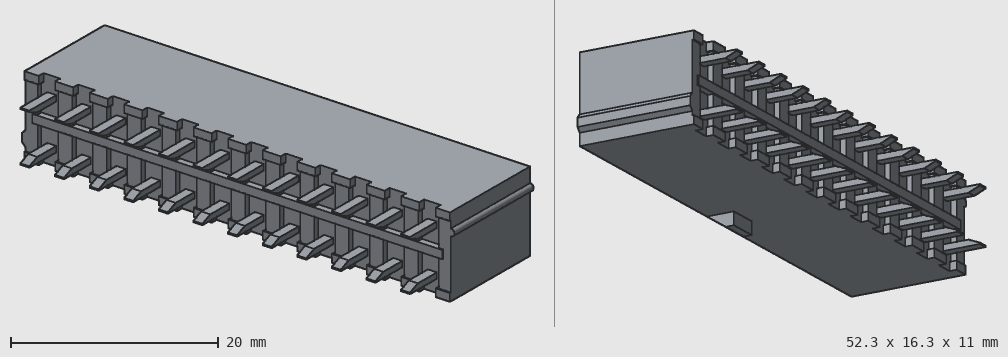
import cadquery as cq


body_width = 51.55
body_depth = 12.8
body_height = 9.6
flange_height = 0.95
face_recess = 0.15

pin_columns = 12
pin_pitch = 4.2
pocket_width = 2.5
pocket_depth = 0.8
notch_width = 2.0

bar_length = 49.7
bar_height = 1.0

row_spacing = 5.45
row_centre_z = 4.6
pin_width = 1.1
pin_thickness = 0.7
pin_reach = 3.5
pin_taper_length = 1.25
pin_tip_thickness = 0.15

left_rib_reach = 0.4
left_rib_base = 1.9
left_rib_crest = 0.95
left_rib_z = 2.3
right_rib_radius = 0.4
right_rib_z = 7.4

latch_width = 3.35
latch_drop = 1.4
latch_length = 3.05
latch_foot = 0.9

half_width = body_width / 2
mid_height = body_height / 2
column_xs = [(i - (pin_columns - 1) / 2) * pin_pitch for i in range(pin_columns)]


def block(width, depth, height, x, front_y, z):
    """Box centred on x and z, running back from front_y."""
    return cq.Workplane("XY").box(width, depth, height).translate((x, front_y + depth / 2, z))


def housing():
    """Block with a recessed front face, pin pockets and notches through both flanges."""
    body = block(body_width, body_depth, body_height, 0, 0, mid_height)
    recess_height = body_height - 2 * flange_height
    body = body.cut(block(body_width, face_recess, recess_height, 0, 0, mid_height))
    for column_x in column_xs:
        body = body.cut(block(pocket_width, pocket_depth, recess_height, column_x, 0, mid_height))
        body = body.cut(block(notch_width, pocket_depth, body_height, column_x, 0, mid_height))
    return body.union(block(bar_length, pocket_depth, bar_height, 0, 0, mid_height))


def pin(x, side):
    """Pin with its inner face tapered to the tip; side is +1 for the upper row, -1 for the lower."""
    row_z = row_centre_z + side * row_spacing / 2
    outer_z = row_z + side * pin_thickness / 2
    inner_z = row_z - side * pin_thickness / 2
    profile = [
        (pocket_depth, outer_z),
        (-pin_reach, outer_z),
        (-pin_reach, outer_z - side * pin_tip_thickness),
        (pin_taper_length - pin_reach, inner_z),
        (pocket_depth, inner_z),
    ]
    solid = cq.Workplane("YZ").polyline(profile).close().extrude(pin_width / 2, both=True)
    return solid.translate((x, 0, 0))


def left_rib():
    """Trapezoidal rib along the left end of the housing, from its recessed face to the rear."""
    crest_x = -half_width - left_rib_reach
    profile = [
        (-half_width, left_rib_z - left_rib_base / 2),
        (crest_x, left_rib_z - left_rib_crest / 2),
        (crest_x, left_rib_z + left_rib_crest / 2),
        (-half_width, left_rib_z + left_rib_base / 2),
    ]
    rib = cq.Workplane("XZ").polyline(profile).close().extrude(face_recess - body_depth)
    return rib.translate((0, face_recess, 0))


def right_rib():
    """Half-round rib along the right end; its inner half is buried in the housing."""
    rib = cq.Workplane("XZ").center(half_width, right_rib_z).circle(right_rib_radius)
    return rib.extrude(face_recess - body_depth).translate((0, face_recess, 0))


def latch():
    """Ramped hook under the rear edge."""
    profile = [
        (body_depth, 0),
        (body_depth - latch_length, 0),
        (body_depth - latch_length, -latch_drop),
        (body_depth - latch_length + latch_foot, -latch_drop),
    ]
    return cq.Workplane("YZ").polyline(profile).close().extrude(latch_width / 2, both=True)


result = housing()
for column_x in column_xs:
    for row_side in (-1, 1):
        result = result.union(pin(column_x, row_side))
result = result.union(left_rib())
result = result.union(right_rib())
result = result.union(latch())